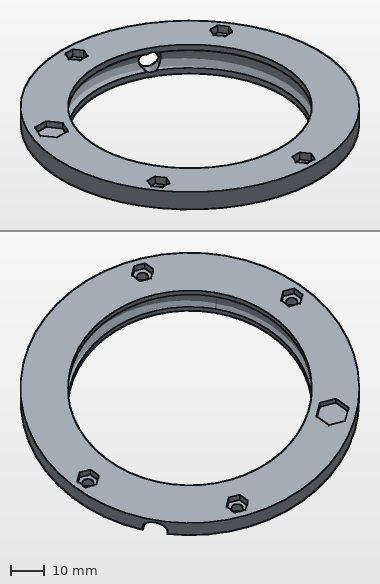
import cadquery as cq
import math

flange_diameter = 100.0
spigot_diameter = 80.0
bore_diameter = 72.0
total_height = 10.0
flange_thickness = 6.0
mid_height = total_height / 2

race_width = 6.0
race_depth = 2.2
loading_hole_outer_diameter = 7.6
loading_hole_inner_diameter = 6.6
loading_hole_length = 15.0

screw_circle_radius = 45.0
screw_angles = (30, 150, 210, 330)
screw_hole_diameter = 3.4
nut_across_corners = 6.7
nut_pocket_depth = 2.5

hex_pocket_radius = 43.0
hex_pocket_across_corners = 10.0
hex_pocket_depth = 2.0


def make_ring():
    """Stepped ring with a plain bore."""
    spigot = cq.Workplane("XY").circle(spigot_diameter / 2).extrude(total_height)
    flange = (
        cq.Workplane("XY", origin=(0, 0, total_height))
        .circle(flange_diameter / 2)
        .extrude(-flange_thickness)
    )
    bore = cq.Workplane("XY").circle(bore_diameter / 2).extrude(total_height)
    return spigot.union(flange).cut(bore)


def make_ball_race():
    """Ring with a circular-arc profile, cutting a groove into the bore wall."""
    bore_radius = bore_diameter / 2
    return (
        cq.Workplane("XZ")
        .moveTo(bore_radius, mid_height - race_width / 2)
        .threePointArc(
            (bore_radius + race_depth, mid_height),
            (bore_radius, mid_height + race_width / 2),
        )
        .close()
        .revolve(360, (0, 0), (0, 1))
    )


def make_loading_hole():
    """Radial hole from the -X side, tapering down towards the bore."""
    return (
        cq.Workplane("YZ", origin=(-flange_diameter / 2, 0, mid_height))
        .circle(loading_hole_outer_diameter / 2)
        .workplane(offset=loading_hole_length)
        .circle(loading_hole_inner_diameter / 2)
        .loft()
    )


def make_hex_pocket(x, y, across_corners, depth):
    """Hexagonal pocket cut down from the top face, with corners on the X axis."""
    return (
        cq.Workplane("XY", origin=(x, y, total_height))
        .polygon(6, across_corners)
        .extrude(-depth)
    )


def make_screw_hole(x, y):
    """Through hole with a nut pocket at its top."""
    hole = cq.Workplane("XY", origin=(x, y, 0)).circle(screw_hole_diameter / 2).extrude(total_height)
    return hole.union(make_hex_pocket(x, y, nut_across_corners, nut_pocket_depth))


result = make_ring().cut(make_ball_race()).cut(make_loading_hole())

for angle in screw_angles:
    screw_x = screw_circle_radius * math.cos(math.radians(angle))
    screw_y = screw_circle_radius * math.sin(math.radians(angle))
    result = result.cut(make_screw_hole(screw_x, screw_y))

result = result.cut(make_hex_pocket(0, -hex_pocket_radius, hex_pocket_across_corners, hex_pocket_depth))